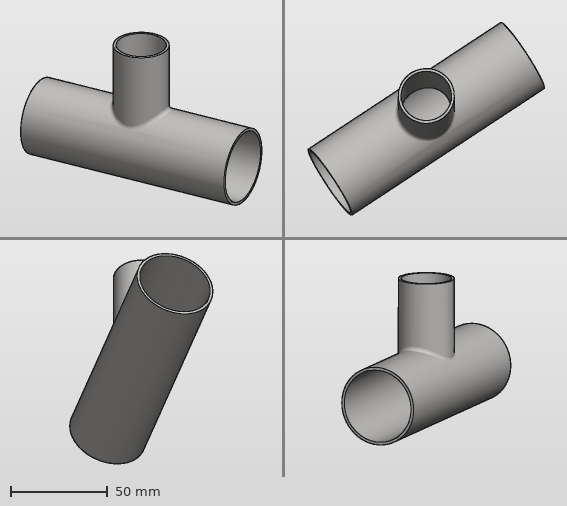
import cadquery as cq

pipe_length = 120.0
pipe_outer_diameter = 41.0
pipe_inner_diameter = 38.0

branch_outer_diameter = 29.0
branch_inner_diameter = 26.0
total_height = 76.5
branch_top = total_height - pipe_outer_diameter / 2

joint_fillet_radius = 2.0


def pipe_cylinder(diameter):
    """Cylinder on the X axis, centred on the origin."""
    return cq.Workplane("YZ").circle(diameter / 2).extrude(pipe_length / 2, both=True)


def branch_cylinder(diameter):
    """Cylinder on the Z axis, from the main pipe axis to the branch top."""
    return cq.Workplane("XY").circle(diameter / 2).extrude(branch_top)


outer_body = pipe_cylinder(pipe_outer_diameter).union(branch_cylinder(branch_outer_diameter))
joint_edge = outer_body.edges(
    cq.selectors.BoxSelector(
        (-branch_outer_diameter, -pipe_outer_diameter, 0),
        (branch_outer_diameter, pipe_outer_diameter, pipe_outer_diameter / 2 + joint_fillet_radius),
        boundingbox=True,
    )
)
outer_body = joint_edge.fillet(joint_fillet_radius)

result = outer_body.cut(pipe_cylinder(pipe_inner_diameter)).cut(branch_cylinder(branch_inner_diameter))